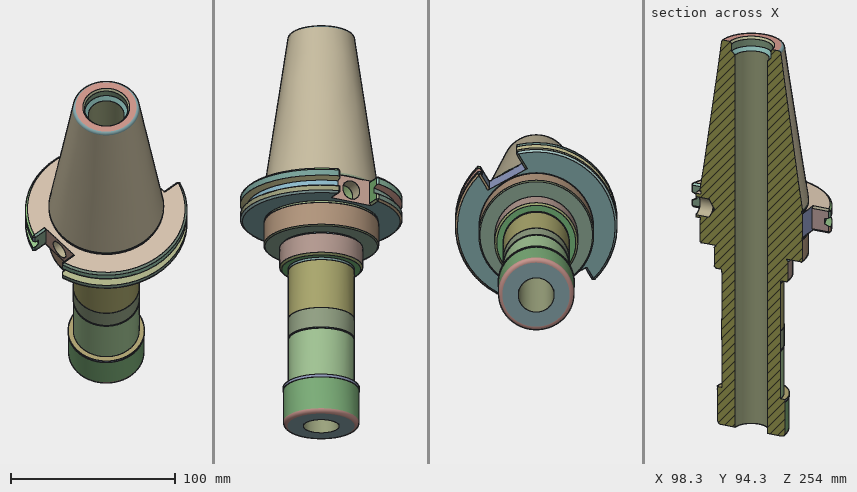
import cadquery as cq
import math

TOTAL_LENGTH = 254.0
TAPER_LENGTH = 101.5
GAUGE_Z = TOTAL_LENGTH - TAPER_LENGTH

TAPER_RATIO = 7 / 24
GAUGE_RADIUS = 69.8 / 2
TIP_RADIUS = GAUGE_RADIUS - TAPER_LENGTH * TAPER_RATIO / 2
TIP_ROUNDING = 1.8
GAUGE_BAND_HEIGHT = 1.3
RELIEF_DEPTH = 0.5

FLANGE_RADIUS = 98.3 / 2
FLANGE_THICKNESS = 16.0
FLANGE_TOP_Z = GAUGE_Z - 2.8
FLANGE_BOTTOM_Z = FLANGE_TOP_Z - FLANGE_THICKNESS
FLANGE_CHAMFER = 1.3
GROOVE_HEIGHT = 7.5
GROOVE_Z = FLANGE_BOTTOM_Z + GROOVE_HEIGHT
GROOVE_DEPTH = 3.8
GROOVE_FLOOR_WIDTH = 3.0
GROOVE_FLANK_ANGLE = 25.0
SLOT_WIDTH = 25.1
FRONT_SLOT_FLOOR = 37.5
BACK_SLOT_FLOOR = 35.0

DRILL_DIAMETER = 11.7
DRILL_DEPTH = 9.0
DRILL_POINT_ANGLE = 118.0

COLLAR_RADIUS = 69.8 / 2
COLLAR_BOTTOM_Z = 117.3
COLLAR_CHAMFER = 0.8
COLLAR_NECK_HEIGHT = 1.3
COLLAR_NECK_DEPTH = 0.3
STEP_RADIUS = 50.5 / 2
STEP_BOTTOM_Z = 102.4
STEP_CHAMFER = 1.3
SHANK_RADIUS = 40.1 / 2
BAND_RADIUS = 40.5 / 2
SHOULDER_BAND_HEIGHT = 1.5
BAND_TOP_Z = 69.5
BAND_BOTTOM_Z = 57.0
BAND_GROOVE_RADIUS = 40.0 / 2
BAND_GROOVE_WIDTH = 0.8

NUT_RADIUS = 46.0 / 2
NUT_HEIGHT = 25.0
NUT_RIM_RADIUS = 46.5 / 2
NUT_RIM_HEIGHT = 1.8
NUT_ROUNDING = 2.5

BORE_RADIUS = 21.8 / 2
COUNTERBORE_RADIUS = 26.5 / 2
COUNTERBORE_DEPTH = 6.0
MOUTH_WIDENING = 1.0
MOUTH_DEPTH = 1.5


def cylinder(radius, bottom_z, top_z):
    return cq.Workplane("XY").workplane(offset=bottom_z).circle(radius).extrude(top_z - bottom_z)


def revolve_profile(points):
    """Revolve a closed (radius, z) outline about the Z axis."""
    return cq.Workplane("XZ").polyline(points).close().revolve(360, (0, 0, 0), (0, 1, 0))


def make_taper():
    relief_radius = GAUGE_RADIUS - RELIEF_DEPTH
    return revolve_profile([
        (0, FLANGE_BOTTOM_Z),
        (relief_radius, FLANGE_BOTTOM_Z),
        (relief_radius, GAUGE_Z - GAUGE_BAND_HEIGHT),
        (GAUGE_RADIUS, GAUGE_Z - GAUGE_BAND_HEIGHT),
        (GAUGE_RADIUS, GAUGE_Z),
        (TIP_RADIUS, TOTAL_LENGTH),
        (0, TOTAL_LENGTH),
    ]).faces(">Z").edges().fillet(TIP_ROUNDING)


def make_slot(floor_distance, direction):
    length = FLANGE_RADIUS
    center_y = direction * (floor_distance + length / 2)
    return cq.Workplane("XY").box(SLOT_WIDTH, length, 2 * FLANGE_THICKNESS).translate((0, center_y, GROOVE_Z))


def make_groove():
    """V-shaped ring that is cut around the flange rim."""
    floor_radius = FLANGE_RADIUS - GROOVE_DEPTH
    half_floor = GROOVE_FLOOR_WIDTH / 2
    half_mouth = half_floor + GROOVE_DEPTH * math.tan(math.radians(GROOVE_FLANK_ANGLE))
    return revolve_profile([
        (floor_radius, GROOVE_Z - half_floor),
        (FLANGE_RADIUS, GROOVE_Z - half_mouth),
        (FLANGE_RADIUS, GROOVE_Z + half_mouth),
        (floor_radius, GROOVE_Z + half_floor),
    ])


def make_flange():
    flange = cylinder(FLANGE_RADIUS, FLANGE_BOTTOM_Z, FLANGE_TOP_Z)
    flange = flange.cut(make_slot(FRONT_SLOT_FLOOR, -1)).cut(make_slot(BACK_SLOT_FLOOR, 1))
    rim_edges = flange.faces("%CYLINDER").edges()
    wall_edges = flange.edges("|Y")
    flange = rim_edges.add(wall_edges).chamfer(FLANGE_CHAMFER)
    return flange.cut(make_groove())


def make_drill():
    radius = DRILL_DIAMETER / 2
    point_height = radius / math.tan(math.radians(DRILL_POINT_ANGLE / 2))
    drill = cq.Workplane("XY").polyline([
        (0, -FRONT_SLOT_FLOOR),
        (radius, -FRONT_SLOT_FLOOR),
        (radius, -FRONT_SLOT_FLOOR + DRILL_DEPTH),
        (0, -FRONT_SLOT_FLOOR + DRILL_DEPTH + point_height),
    ]).close().revolve(360, (0, 0, 0), (0, 1, 0))
    return drill.translate((0, 0, GROOVE_Z))


def make_body():
    neck_bottom_z = FLANGE_BOTTOM_Z - COLLAR_NECK_HEIGHT
    neck = cylinder(COLLAR_RADIUS - COLLAR_NECK_DEPTH, neck_bottom_z, FLANGE_BOTTOM_Z)
    collar = cylinder(COLLAR_RADIUS, COLLAR_BOTTOM_Z, neck_bottom_z).faces("<Z").chamfer(COLLAR_CHAMFER)
    step = cylinder(STEP_RADIUS, STEP_BOTTOM_Z, COLLAR_BOTTOM_Z).edges().chamfer(STEP_CHAMFER)
    shank_top_z = STEP_BOTTOM_Z - SHOULDER_BAND_HEIGHT
    shoulder_band = cylinder(BAND_RADIUS, shank_top_z, STEP_BOTTOM_Z)
    upper_shank = cylinder(SHANK_RADIUS, BAND_TOP_Z, shank_top_z)
    band = cylinder(BAND_RADIUS, BAND_BOTTOM_Z, BAND_TOP_Z)
    groove_bottom_z = BAND_BOTTOM_Z - BAND_GROOVE_WIDTH
    band_groove = cylinder(BAND_GROOVE_RADIUS, groove_bottom_z, BAND_BOTTOM_Z)
    lower_shank = cylinder(SHANK_RADIUS, NUT_HEIGHT, groove_bottom_z)
    nut = cylinder(NUT_RADIUS, 0, NUT_HEIGHT).faces("<Z").edges().fillet(NUT_ROUNDING)
    nut_rim = cylinder(NUT_RIM_RADIUS, NUT_HEIGHT - NUT_RIM_HEIGHT, NUT_HEIGHT)
    body = neck
    for section in (collar, step, shoulder_band, upper_shank, band, band_groove, lower_shank, nut, nut_rim):
        body = body.union(section)
    return body


def make_bore():
    """Through bore with a counterbore, a conical seat and a broken mouth at the taper end."""
    seat_z = TOTAL_LENGTH - COUNTERBORE_DEPTH
    return revolve_profile([
        (0, 0),
        (BORE_RADIUS, 0),
        (BORE_RADIUS, seat_z - (COUNTERBORE_RADIUS - BORE_RADIUS)),
        (COUNTERBORE_RADIUS, seat_z),
        (COUNTERBORE_RADIUS, TOTAL_LENGTH - MOUTH_DEPTH),
        (COUNTERBORE_RADIUS + MOUTH_WIDENING, TOTAL_LENGTH),
        (0, TOTAL_LENGTH),
    ])


result = make_taper().union(make_flange()).union(make_body())
result = result.cut(make_drill()).cut(make_bore())